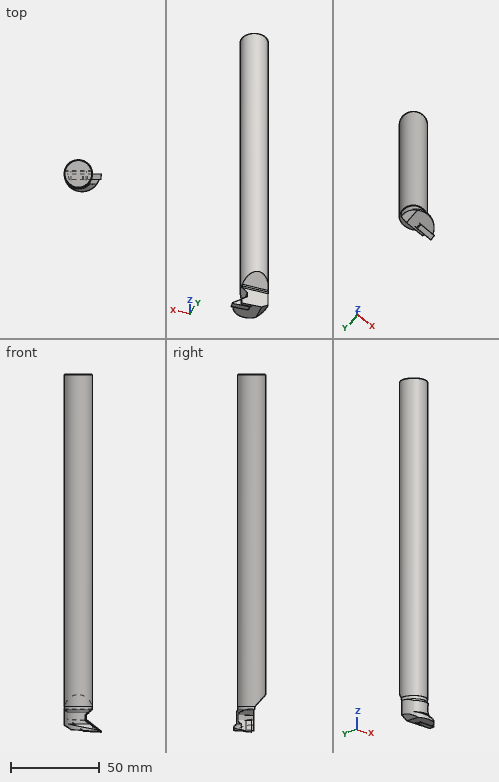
import cadquery as cq
import math


overall_height = 201.25
shank_radius = 16.0 / 2
shank_chamfer = 0.5

waist_radius = 7.85
waist_top_z = 14.4
flare_top_z = 12.5
flare_bottom_z = 11.3

head_radius = 10.09
head_center_x = head_radius - shank_radius
neck_radius = 8.6
neck_bottom_z = 4.7
cone_bottom_radius = neck_radius + neck_bottom_z

head_face_y = 1.3
relief_step_y = 1.9
relief_step_z = 13.2
relief_angle = 48.0

nose_x = 12.99
nose_angle = 35.0
nose_radius = 0.4
inscribed_diameter = 6.35
insert_thickness = 3.18
clearance_angle = 5.0
edge_tilt = 3.0

underside_setback = 0.5
bevel_start_x = -4.0
bevel_angle = 34.0

notch_x = 4.5
notch_mouth_z = 13.0
notch_upper_angle = 45.0
flank_setback = 0.35

reach = 40.0


def step(point, angle, distance):
    """Point at a distance along an angle measured from the horizontal axis toward +Z."""
    turn = math.radians(angle)
    return point[0] + distance * math.cos(turn), point[1] + distance * math.sin(turn)


lower_edge_angle = 180 - edge_tilt
upper_edge_angle = lower_edge_angle - nose_angle
nose_direction = lower_edge_angle - nose_angle / 2 + 180
edge_length = inscribed_diameter / math.sin(math.radians(nose_angle))
nose_center = (nose_x - nose_radius, nose_radius)
sharp_corner = step(nose_center, nose_direction, nose_radius / math.sin(math.radians(nose_angle / 2)))


def make_insert():
    lower_tangent = step(nose_center, lower_edge_angle + 90, nose_radius)
    nose_tip = step(nose_center, nose_direction, nose_radius)
    upper_tangent = step(nose_center, upper_edge_angle - 90, nose_radius)
    upper_corner = step(sharp_corner, upper_edge_angle, edge_length)
    far_corner = step(upper_corner, lower_edge_angle, edge_length)
    lower_corner = step(sharp_corner, lower_edge_angle, edge_length)
    cutting_face = (
        cq.Workplane("XZ")
        .moveTo(*lower_tangent)
        .threePointArc(nose_tip, upper_tangent)
        .lineTo(*upper_corner)
        .lineTo(*far_corner)
        .lineTo(*lower_corner)
        .close()
    )
    return cutting_face.extrude(insert_thickness, taper=clearance_angle)


def turned_bar():
    """Shank, waist, flare, neck and cone as one turned profile."""
    profile = [
        (0, 0),
        (cone_bottom_radius, 0),
        (neck_radius, neck_bottom_z),
        (neck_radius, flare_bottom_z),
        (shank_radius, flare_top_z),
        (waist_radius, waist_top_z),
        (shank_radius, waist_top_z),
        (shank_radius, overall_height - shank_chamfer),
        (shank_radius - shank_chamfer, overall_height),
        (0, overall_height),
    ]
    return cq.Workplane("XZ").polyline(profile).close().revolve(360, (0, 0, 0), (0, 1, 0))


def head_envelope():
    """Shank circle on the +Y side, larger eccentric circle on the -Y side."""
    outline = (
        cq.Workplane("XY")
        .moveTo(-shank_radius, 0)
        .threePointArc((0, shank_radius), (shank_radius, 0))
        .lineTo(head_center_x + head_radius, 0)
        .threePointArc((head_center_x, -head_radius), (-shank_radius, 0))
        .close()
    )
    return outline.extrude(overall_height)


def relief_cut():
    """Space on the +Y side of the head, closed at the top by a slope."""
    slope_bottom = (relief_step_y, waist_top_z)
    outline = [
        (head_face_y, -reach),
        (head_face_y, flare_top_z),
        (relief_step_y, relief_step_z),
        slope_bottom,
        step(slope_bottom, relief_angle, reach),
        (reach, -reach),
    ]
    return cq.Workplane("YZ").polyline(outline).close().extrude(reach, both=True)


def underside_cut():
    """Space below the underside and its bevel."""
    right = (sharp_corner[0], sharp_corner[1] + underside_setback)
    bevel_start = step(right, lower_edge_angle, right[0] - bevel_start_x)
    bevel_end = step(bevel_start, 180 - bevel_angle, reach)
    outline = [right, bevel_start, bevel_end, (bevel_end[0], -reach), (right[0], -reach)]
    return cq.Workplane("XZ").polyline(outline).close().extrude(reach, both=True)


def notch_cut():
    """Notch that widens toward -Y with the clearance of the insert."""
    flank_start = step(sharp_corner, upper_edge_angle + 90, flank_setback)
    flank_length = (notch_x - flank_start[0]) / math.cos(math.radians(upper_edge_angle))
    upper_root_rise = (shank_radius - notch_x) * math.tan(math.radians(notch_upper_angle))
    upper_root = (notch_x, notch_mouth_z - upper_root_rise)
    outline = [
        step(flank_start, upper_edge_angle, -reach),
        step(flank_start, upper_edge_angle, flank_length),
        upper_root,
        step(upper_root, notch_upper_angle, reach),
    ]
    widening = cq.Workplane("XZ").polyline(outline).close().extrude(head_radius, taper=-clearance_angle)
    straight = cq.Workplane("XZ").polyline(outline).close().extrude(-shank_radius)
    return widening.union(straight)


def make_holder(insert):
    blank = turned_bar().intersect(head_envelope())
    return blank.cut(relief_cut()).cut(underside_cut()).cut(notch_cut()).cut(insert)


insert = make_insert()
holder = make_holder(insert)

result = cq.Compound.makeCompound([holder.val(), insert.val()])